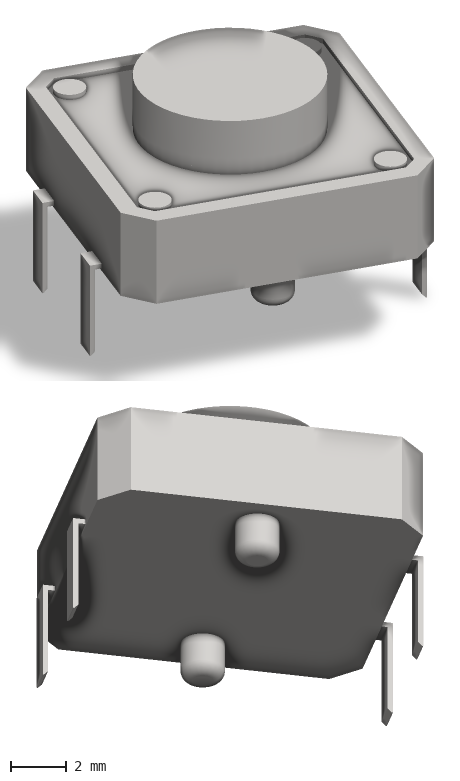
import cadquery as cq

HOUSING_SIDE = 12.0
HOUSING_HEIGHT = 3.4
HOUSING_CHAMFER = 1.0

RECESS_MARGIN = 0.7
RECESS_SIDE = HOUSING_SIDE - 2 * RECESS_MARGIN
RECESS_CHAMFER = 0.5
RECESS_DEPTH = 0.2
STUD_OFFSET = 4.5
STUD_DIAMETER = 1.2

PEG_OFFSET = STUD_OFFSET
PEG_DIAMETER = 1.6
PEG_LENGTH = 1.5
PEG_ROUNDING = 0.4

BUTTON_DIAMETER = 7.0
BUTTON_HEIGHT = 1.99

LEAD_SPAN = 12.9
LEAD_WIDTH = 1.0
LEAD_THICKNESS = 0.19
LEAD_OFFSET = 2.5
LEAD_TOP = 0.3
LEAD_TIP = -3.4
LEAD_BEVEL = 0.15


def chamfered_block(side, height, chamfer, base_z):
    """Square block with its four upright edges cut off."""
    block = cq.Workplane("XY").workplane(offset=base_z).rect(side, side).extrude(height)
    return block.edges("|Z").chamfer(chamfer)


def make_top_recess():
    """Material removed from the top face, leaving the button seat and the corner studs."""
    floor_z = HOUSING_HEIGHT - RECESS_DEPTH
    recess = chamfered_block(RECESS_SIDE, RECESS_DEPTH, RECESS_CHAMFER, floor_z)
    floor = cq.Workplane("XY").workplane(offset=floor_z)
    seat = floor.circle(BUTTON_DIAMETER / 2).extrude(RECESS_DEPTH)
    studs = (
        floor.rect(2 * STUD_OFFSET, 2 * STUD_OFFSET, forConstruction=True)
        .vertices()
        .circle(STUD_DIAMETER / 2)
        .extrude(RECESS_DEPTH)
    )
    return recess.cut(seat).cut(studs)


def make_pegs():
    """Two pegs with rounded ends, pointing down from the housing."""
    pegs = (
        cq.Workplane("XY")
        .pushPoints([(-PEG_OFFSET, 0), (PEG_OFFSET, 0)])
        .circle(PEG_DIAMETER / 2)
        .extrude(-PEG_LENGTH)
    )
    return pegs.faces("<Z").edges().fillet(PEG_ROUNDING)


def make_lead(x):
    """Strip bent down at both ends, with each tip bevelled at 45 degrees on its inner face."""
    outer_y = LEAD_SPAN / 2
    inner_y = outer_y - LEAD_THICKNESS
    strip_bottom = LEAD_TOP - LEAD_THICKNESS
    bevel_y = inner_y + LEAD_BEVEL
    bevel_top = LEAD_TIP + LEAD_BEVEL
    return (
        cq.Workplane("YZ")
        .workplane(offset=x - LEAD_WIDTH / 2)
        .moveTo(-outer_y, LEAD_TOP)
        .lineTo(outer_y, LEAD_TOP)
        .lineTo(outer_y, LEAD_TIP)
        .lineTo(bevel_y, LEAD_TIP)
        .lineTo(inner_y, bevel_top)
        .lineTo(inner_y, strip_bottom)
        .lineTo(-inner_y, strip_bottom)
        .lineTo(-inner_y, bevel_top)
        .lineTo(-bevel_y, LEAD_TIP)
        .lineTo(-outer_y, LEAD_TIP)
        .close()
        .extrude(LEAD_WIDTH)
    )


def make_housing(leads):
    """Housing with its top recess, its pegs and a slot that fits each lead."""
    housing = chamfered_block(HOUSING_SIDE, HOUSING_HEIGHT, HOUSING_CHAMFER, 0)
    housing = housing.cut(make_top_recess()).union(make_pegs())
    for lead in leads:
        housing = housing.cut(lead)
    return housing


def make_button():
    """Plain round button standing on the seat, which is level with the housing top."""
    return (
        cq.Workplane("XY")
        .workplane(offset=HOUSING_HEIGHT)
        .circle(BUTTON_DIAMETER / 2)
        .extrude(BUTTON_HEIGHT)
    )


leads = [make_lead(x) for x in (-LEAD_OFFSET, LEAD_OFFSET)]
housing = make_housing(leads)
button = make_button()

result = cq.Compound.makeCompound([housing.val(), button.val(), *[lead.val() for lead in leads]])